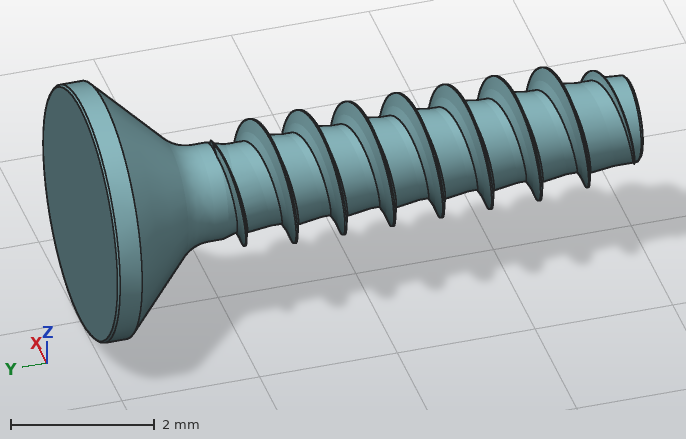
import math

import cadquery as cq


length = 8.0
head_radius = 3.65 / 2
head_edge_chamfer = 0.03
head_rim_depth = 0.35
countersink_angle = math.radians(45)

shank_radius = 0.685
neck_fillet_radius = 0.6
shank_end_depth = 1.945
core_taper_length = 0.26

tip_allowance = 1.0
rough_length = length + tip_allowance
core_radius = 0.615
tip_chamfer = 0.035
tip_dish_depth = 0.04

pitch = 0.71
crest_radius = 0.912
crest_half_width = 0.012
crest_depth_at_plus_x = 2.494
head_flank_foot = 0.145
head_flank_kink = 0.075
head_flank_kink_height = 0.12
tip_flank_foot = 0.09
root_ramp_height = 0.05
root_ramp_end = 0.53
thread_base_radius = 0.45
root_overlap = 0.012
points_per_turn = 24

thread_stages = [(1.40, 0.15), (2.65, 1.0), (6.98, 1.0), (7.90, 0.12)]


def revolve_about_axis(profile):
    return profile.close().revolve(360, (0, 0, 0), (0, 1, 0))


def make_head_and_core():
    """Head, filleted neck, shank and core, turned as one profile."""
    fillet_drop = neck_fillet_radius * (1 - math.cos(countersink_angle))
    fillet_length = neck_fillet_radius * math.sin(countersink_angle)
    cone_end_radius = shank_radius + fillet_drop
    cone_length = (head_radius - cone_end_radius) / math.tan(countersink_angle)
    cone_end_depth = head_rim_depth + cone_length
    neck_end_depth = cone_end_depth + fillet_length

    half_angle = countersink_angle / 2
    mid_radius = shank_radius + neck_fillet_radius * (1 - math.cos(half_angle))
    mid_depth = neck_end_depth - neck_fillet_radius * math.sin(half_angle)

    return revolve_about_axis(
        cq.Workplane("XY")
        .moveTo(0, 0)
        .lineTo(head_radius - head_edge_chamfer, 0)
        .lineTo(head_radius, -head_edge_chamfer)
        .lineTo(head_radius, -head_rim_depth)
        .lineTo(cone_end_radius, -cone_end_depth)
        .threePointArc((mid_radius, -mid_depth), (shank_radius, -neck_end_depth))
        .lineTo(shank_radius, -shank_end_depth)
        .lineTo(core_radius, -(shank_end_depth + core_taper_length))
        .lineTo(core_radius, -rough_length)
        .lineTo(0, -rough_length)
    )


def thread_section(fraction):
    """Corners of the thread section as (depth past the crest, radius)."""
    height = (crest_radius - core_radius) * fraction
    return [
        (-head_flank_foot * fraction, thread_base_radius),
        (-head_flank_foot * fraction, core_radius - root_overlap),
        (-head_flank_kink * fraction, core_radius + head_flank_kink_height * fraction),
        (-crest_half_width * fraction, core_radius + height),
        (crest_half_width * fraction, core_radius + height),
        (tip_flank_foot * fraction, core_radius + root_ramp_height * fraction),
        (root_ramp_end, core_radius - root_overlap),
        (root_ramp_end, thread_base_radius),
    ]


def thread_corners(crest_depth, fraction):
    """Section corners placed in space for a crest at the given depth."""
    angle = 2 * math.pi * (crest_depth - crest_depth_at_plus_x) / pitch
    return [
        cq.Vector(radius * math.cos(angle), -(crest_depth + offset), radius * math.sin(angle))
        for offset, radius in thread_section(fraction)
    ]


def stage_edges(start, end):
    """One helical edge per section corner between two thread stages."""
    start_depth, start_fraction = start
    end_depth, end_fraction = end
    steps = math.ceil((end_depth - start_depth) / pitch * points_per_turn)
    sections = []
    for step in range(steps + 1):
        share = step / steps
        crest_depth = start_depth + share * (end_depth - start_depth)
        fraction = start_fraction + share * (end_fraction - start_fraction)
        sections.append(thread_corners(crest_depth, fraction))
    return [cq.Edge.makeSpline(list(path)) for path in zip(*sections)]


def make_thread():
    """Helical ridge with ruled flanks, capped flat at both ends."""
    faces = []
    for start, end in zip(thread_stages, thread_stages[1:]):
        edges = stage_edges(start, end)
        for edge, next_edge in zip(edges, edges[1:] + edges[:1]):
            faces.append(cq.Face.makeRuledSurface(edge, next_edge))
    for stage in (thread_stages[0], thread_stages[-1]):
        outline = cq.Wire.makePolygon(thread_corners(*stage), close=True)
        faces.append(cq.Face.makeFromWires(outline))
    return cq.Workplane(cq.Solid.makeSolid(cq.Shell.makeShell(faces)))


def make_thread_limits():
    """Cylinder the thread may fill, starting square at the end of the shank."""
    return (
        cq.Workplane("XZ", origin=(0, -shank_end_depth, 0))
        .circle(head_radius)
        .extrude(rough_length - shank_end_depth)
    )


def make_tip_trim():
    """Waste beyond the tip: leaves a chamfered edge and a shallow dished end."""
    waste_end = rough_length + tip_allowance
    chamfer_start = length - tip_chamfer - (head_radius - core_radius)
    return revolve_about_axis(
        cq.Workplane("XY")
        .moveTo(0, -(length - tip_dish_depth))
        .lineTo(core_radius - tip_chamfer, -length)
        .lineTo(head_radius, -chamfer_start)
        .lineTo(head_radius, -waste_end)
        .lineTo(0, -waste_end)
    )


thread = make_thread().intersect(make_thread_limits())
result = make_head_and_core().union(thread).cut(make_tip_trim())